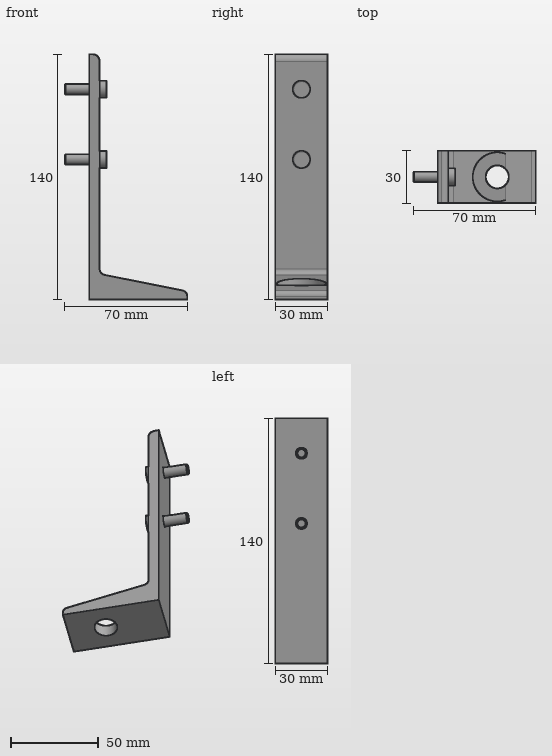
import cadquery as cq

WIDTH = 30.0
HEIGHT = 140.0
FOOT_LENGTH = 56.0
PLATE_THICKNESS = 6.0
FOOT_ROOT_HEIGHT = 16.0
FOOT_TIP_HEIGHT = 4.8
TOP_RADIUS = 4.0
INNER_RADIUS = 3.5
TIP_RADIUS = 3.4

HOLE_X = 34.0
HOLE_DIAMETER = 13.0
SPOT_FACE_DIAMETER = 28.0
SPOT_FACE_HEIGHT = 8.3

SCREW_DIAMETER = 6.0
SCREW_HOLE_DIAMETER = 6.5
SCREW_PROTRUSION = 14.0
SCREW_TIP_CHAMFER = 0.7
HEAD_DIAMETER = 10.0
HEAD_LENGTH = 3.9
HEAD_EDGE_RADIUS = 0.4
SCREW_SPACING = 40.0
TOP_SCREW_Z = HEIGHT - 20.0
SCREW_HEIGHTS = [TOP_SCREW_Z, TOP_SCREW_Z - SCREW_SPACING]


def x_cylinder(diameter, start_x, length, z):
    """Cylinder along +X, centred on the bracket width."""
    return cq.Workplane("YZ", origin=(start_x, 0, z)).circle(diameter / 2).extrude(length)


def z_cylinder(diameter, start_z, length):
    """Cylinder along +Z on the mounting hole axis."""
    return cq.Workplane("XY", origin=(HOLE_X, 0, start_z)).circle(diameter / 2).extrude(length)


def bracket_profile():
    """L-shaped bar with its corner rounds."""
    slope = (FOOT_TIP_HEIGHT - FOOT_ROOT_HEIGHT) / FOOT_LENGTH
    inner_corner_z = FOOT_ROOT_HEIGHT + slope * PLATE_THICKNESS
    bar = (
        cq.Workplane("XZ")
        .moveTo(0, 0)
        .lineTo(FOOT_LENGTH, 0)
        .lineTo(FOOT_LENGTH, FOOT_TIP_HEIGHT)
        .lineTo(PLATE_THICKNESS, inner_corner_z)
        .lineTo(PLATE_THICKNESS, HEIGHT)
        .lineTo(0, HEIGHT)
        .close()
        .extrude(WIDTH / 2, both=True)
    )
    rounded_corners = [
        (PLATE_THICKNESS, HEIGHT, TOP_RADIUS),
        (PLATE_THICKNESS, inner_corner_z, INNER_RADIUS),
        (FOOT_LENGTH, FOOT_TIP_HEIGHT, TIP_RADIUS),
    ]
    for x, z, radius in rounded_corners:
        corner_edge = cq.selectors.NearestToPointSelector((x, 0, z))
        bar = bar.edges("|Y").edges(corner_edge).fillet(radius)
    return bar


def make_bracket():
    bracket = bracket_profile()
    bracket = bracket.cut(z_cylinder(HOLE_DIAMETER, 0, FOOT_ROOT_HEIGHT))
    spot_face_depth = FOOT_ROOT_HEIGHT - SPOT_FACE_HEIGHT
    bracket = bracket.cut(z_cylinder(SPOT_FACE_DIAMETER, SPOT_FACE_HEIGHT, spot_face_depth))
    for z in SCREW_HEIGHTS:
        bracket = bracket.cut(x_cylinder(SCREW_HOLE_DIAMETER, 0, PLATE_THICKNESS, z))
    return bracket


def make_screw(z):
    """Screw whose head seats on the inner face of the plate."""
    shank_length = SCREW_PROTRUSION + PLATE_THICKNESS
    shank = x_cylinder(SCREW_DIAMETER, -SCREW_PROTRUSION, shank_length, z)
    shank = shank.faces("<X").chamfer(SCREW_TIP_CHAMFER)
    head = x_cylinder(HEAD_DIAMETER, PLATE_THICKNESS, HEAD_LENGTH, z)
    head = head.faces(">X").edges().fillet(HEAD_EDGE_RADIUS)
    return shank.union(head)


bracket = make_bracket()
screws = [make_screw(z) for z in SCREW_HEIGHTS]

result = cq.Compound.makeCompound([bracket.val(), *[screw.val() for screw in screws]])